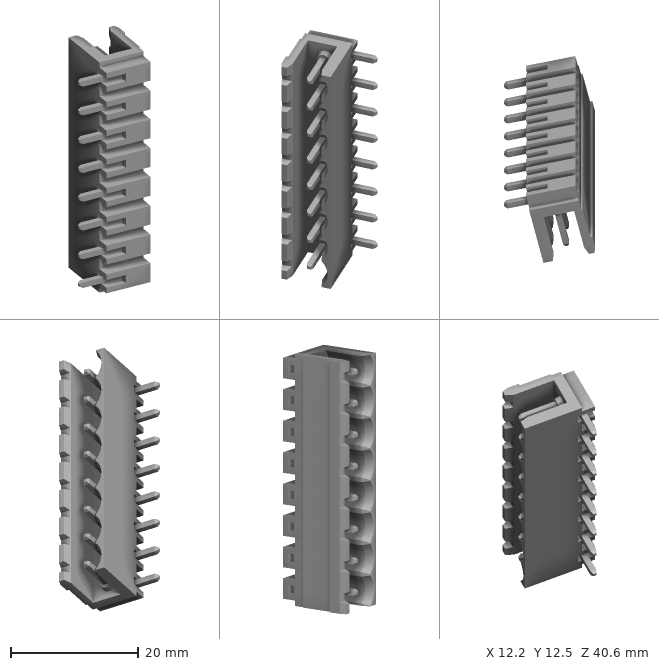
import cadquery as cq


pole_count = 8
row_length = 40.65
pitch = row_length / pole_count
pole_heights = [(pole + 0.5) * pitch for pole in range(pole_count)]

total_depth = 12.2
floor_inner_x = 8.25
floor_outer_x = 9.95
rear_y = 7.95
latch_wall_y = 8.2
latch_inner_y = 6.85
latch_lip_y = 8.58
latch_lip_end_x = 2.95
latch_tip_inner_y = 7.35
latch_tip_outer_y = 8.25
latch_outer_lead_x = 0.98
lead_in_depth = 1.4

board_wall_y = 1.95
board_wall_tip_y = 1.55
scallop_radius = 2.95
scallop_lead_in = 0.5

notch_depth = 1.18
notch_floor_width = 1.4
notch_mouth_width = 1.83

finger_width = 3.35
slot_width = 1.4
slot_start_x = 9.2
window_start_x = 10.1
window_end_x = 11.18

pin_size = 0.98
pin_tip_size = 0.5
pin_taper = 0.53
pin_y = 4.0
pin_tip_x = 0.85
tail_x = 10.32
tail_tip_y = -3.95
collar_length = 0.98
collar_base_radius = 1.25
collar_end_radius = 1.05

bend_outer_x = tail_x + pin_size / 2
bend_outer_y = pin_y + pin_size / 2
contact_board_y = pin_y - pin_size / 2


def block(x_range, y_range, z_center, height):
    """Box spanning the X and Y ranges, centred on a height."""
    size_x = x_range[1] - x_range[0]
    size_y = y_range[1] - y_range[0]
    corner = (x_range[0], y_range[0], z_center - height / 2)
    return cq.Workplane("XY").box(size_x, size_y, height, centered=False).translate(corner)


def make_channel():
    """U-shaped housing with lead-in slopes at the mouth of both walls."""
    outline = [
        (0, 0),
        (floor_outer_x, 0),
        (floor_outer_x, rear_y),
        (floor_inner_x, rear_y),
        (floor_inner_x, latch_wall_y),
        (latch_lip_end_x, latch_wall_y),
        (latch_lip_end_x, latch_lip_y),
        (latch_outer_lead_x, latch_lip_y),
        (0, latch_tip_outer_y),
        (0, latch_tip_inner_y),
        (lead_in_depth, latch_inner_y),
        (floor_inner_x, latch_inner_y),
        (floor_inner_x, board_wall_y),
        (lead_in_depth, board_wall_y),
        (0, board_wall_tip_y),
    ]
    return cq.Workplane("XY").polyline(outline).close().extrude(row_length)


def scallop_cutter(z):
    """Cylinder around the pin axis with a flared mouth, limited to the board side of its own pole."""
    mouth_radius = scallop_radius + scallop_lead_in
    half_section = [
        (0, pin_y),
        (0, pin_y - mouth_radius),
        (lead_in_depth, pin_y - scallop_radius),
        (floor_inner_x, pin_y - scallop_radius),
        (floor_inner_x, pin_y),
    ]
    bore = (
        cq.Workplane("XY", origin=(0, 0, z))
        .polyline(half_section)
        .close()
        .revolve(360, (0, pin_y, 0), (1, pin_y, 0))
    )
    return bore.intersect(block((0, floor_inner_x), (0, pin_y), z, pitch))


def notch_cutter(z):
    """Notch through the latch lip, narrowing away from the mouth."""
    outline = [
        (0, z - notch_mouth_width / 2),
        (notch_depth, z - notch_floor_width / 2),
        (notch_depth, z + notch_floor_width / 2),
        (0, z + notch_mouth_width / 2),
    ]
    return (
        cq.Workplane("XZ", origin=(0, latch_inner_y, 0))
        .polyline(outline)
        .close()
        .extrude(latch_inner_y - latch_lip_y)
    )


def slot_cutter(z):
    """Open slot as deep as the near face of the contact, with a window on through to the latch side."""
    slot = block((slot_start_x, total_depth), (0, contact_board_y), z, slot_width)
    window = block((window_start_x, window_end_x), (0, rear_y), z, slot_width)
    return slot.union(window)


def tapered_tip(plane):
    """Pyramid frustum growing from the pin tip to the full pin section."""
    return (
        cq.Workplane(plane)
        .rect(pin_tip_size, pin_tip_size)
        .workplane(offset=pin_taper)
        .rect(pin_size, pin_size)
        .loft(ruled=True)
    )


def make_pin(z):
    """Bent square pin with tapered ends and a conical collar on the housing floor."""
    contact = block(
        (pin_tip_x + pin_taper, bend_outer_x), (contact_board_y, bend_outer_y), z, pin_size
    )
    tail = block(
        (tail_x - pin_size / 2, bend_outer_x), (tail_tip_y + pin_taper, bend_outer_y), z, pin_size
    )
    contact_tip = tapered_tip(cq.Plane((pin_tip_x, pin_y, z), (0, 1, 0), (1, 0, 0)))
    tail_tip = tapered_tip(cq.Plane((tail_x, tail_tip_y, z), (1, 0, 0), (0, 1, 0)))
    collar = cq.Workplane(
        cq.Solid.makeCone(
            collar_base_radius,
            collar_end_radius,
            collar_length,
            cq.Vector(floor_inner_x, pin_y, z),
            cq.Vector(-1, 0, 0),
        )
    )
    return contact.union(tail).union(contact_tip).union(tail_tip).union(collar)


result = make_channel()
for z in pole_heights:
    result = result.cut(scallop_cutter(z)).cut(notch_cutter(z))
    result = result.union(block((floor_outer_x, total_depth), (0, rear_y), z, finger_width))
    result = result.cut(slot_cutter(z)).union(make_pin(z))